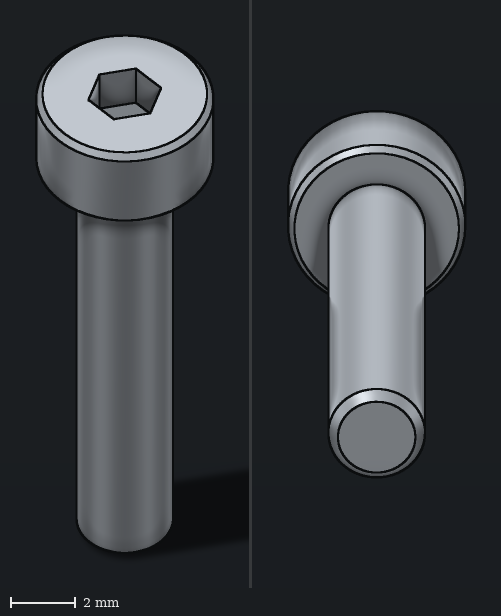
import cadquery as cq
import math

head_diameter = 5.5
head_height = 3.0
head_chamfer = 0.2

shank_diameter = 3.0
shank_length = 16.0
tip_chamfer = 0.3

socket_across_flats = 2.0
socket_depth = 1.5


def make_head():
    """Cylindrical head, chamfered on both rims."""
    head = cq.Workplane("XY").circle(head_diameter / 2).extrude(head_height)
    return head.edges("%CIRCLE").chamfer(head_chamfer)


def make_shank():
    """Plain shank below the head, chamfered at the tip."""
    shank = cq.Workplane("XY").circle(shank_diameter / 2).extrude(-shank_length)
    return shank.faces("<Z").edges().chamfer(tip_chamfer)


def make_socket():
    """Hexagonal drive socket with two flats facing -X and +X."""
    across_corners = socket_across_flats / math.cos(math.radians(30))
    return (
        cq.Workplane("XY", origin=(0, 0, head_height))
        .transformed(rotate=(0, 0, 90))
        .polygon(6, across_corners)
        .extrude(-socket_depth)
    )


result = make_head().union(make_shank()).cut(make_socket())